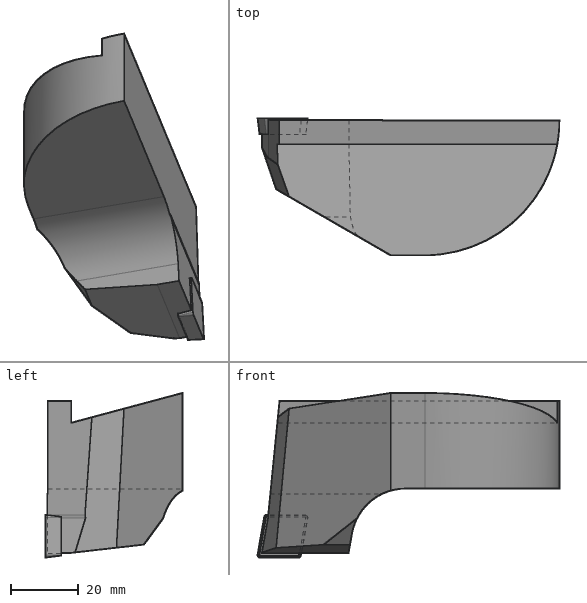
import cadquery as cq
import math


END_RADIUS = 40.0
FLAT_LENGTH = 10.0
SLANT_ANGLE = 30.0
PLAN_LEFT = -60.0

RAIL_WIDTH = 7.0
TOP_SLOPE = 15.0
TOP_HEIGHT = 2.4
RAIL_FOOT = TOP_HEIGHT - (END_RADIUS - RAIL_WIDTH) * math.tan(math.radians(TOP_SLOPE))

UNDERSIDE = -26.0
TIP_BOTTOM = -45.1
TIP_PAD_TOP = -27.5
TIP_PAD_PROUD = 0.2
FLANK_TOP_X = -43.0
FLANK_ANGLE = 5.65
FLANK_RELIEF_ANGLE = 10.0
RELIEF_STEP_DROP = 0.9
TIP_LEFT = -48.2
THROAT_RADIUS = 16.0
THROAT_CENTRE_X = -5.7
THROAT_LINE_ANGLE = 10.0

CORNER_POINT = (-43.4, -13.3, -4.72)
CORNER_TURN = 18.4
CORNER_LEAN = 4.1

BOTTOM_SLOPE = 6.5
BOTTOM_SLOPE_START = -6.5
TOE_EDGE_Y = -28.5
TOE_ANGLE = 53.8

INSERT_CIRCLE = 12.7
INSERT_ANGLE = 80.0
INSERT_THICKNESS = 4.76
INSERT_RELIEF = 7.0
NOSE_RADIUS = 0.8
INSERT_PROUD = 0.7
INSERT_LEFT = -49.5
INSERT_BOTTOM = -46.44

BIG = 200.0


def tan(degrees):
    return math.tan(math.radians(degrees))


def plan_outline():
    """Half-round plan outline with the slanted front wall, as a tall prism reaching the tip pad."""
    slant_run = -FLAT_LENGTH - PLAN_LEFT
    slant_end_y = -END_RADIUS + slant_run * tan(SLANT_ANGLE)
    diagonal = END_RADIUS * math.sqrt(0.5)
    return (
        cq.Workplane("XY", origin=(0, 0, -BIG / 2))
        .moveTo(PLAN_LEFT, TIP_PAD_PROUD)
        .lineTo(PLAN_LEFT, slant_end_y)
        .lineTo(-FLAT_LENGTH, -END_RADIUS)
        .lineTo(0, -END_RADIUS)
        .threePointArc((diagonal, -diagonal), (END_RADIUS, 0))
        .lineTo(END_RADIUS, TIP_PAD_PROUD)
        .close()
        .extrude(BIG)
    )


def side_profile():
    """Front outline of the head, with flank, throat and underside, through the full depth."""
    step_z = INSERT_BOTTOM + INSERT_CIRCLE
    step_x = FLANK_TOP_X + step_z * tan(FLANK_ANGLE)
    relief_z = step_z - RELIEF_STEP_DROP
    relief_x = TIP_LEFT + (relief_z - TIP_BOTTOM) * tan(FLANK_RELIEF_ANGLE)
    crown_x = FLANK_TOP_X + TOP_HEIGHT * tan(FLANK_ANGLE)

    centre_z = UNDERSIDE - THROAT_RADIUS

    def throat_point(angle):
        turn = math.radians(angle)
        return (
            THROAT_CENTRE_X + THROAT_RADIUS * math.cos(turn),
            centre_z + THROAT_RADIUS * math.sin(turn),
        )

    arc_end = throat_point(180 - THROAT_LINE_ANGLE)
    throat_foot_x = arc_end[0] - (arc_end[1] - TIP_BOTTOM) * tan(THROAT_LINE_ANGLE)
    return (
        cq.Workplane("XZ", origin=(0, TIP_PAD_PROUD, 0))
        .moveTo(crown_x, TOP_HEIGHT)
        .lineTo(step_x, step_z)
        .lineTo(relief_x, relief_z)
        .lineTo(TIP_LEFT, TIP_BOTTOM)
        .lineTo(throat_foot_x, TIP_BOTTOM)
        .lineTo(*arc_end)
        .threePointArc(throat_point(135), throat_point(90))
        .lineTo(END_RADIUS, UNDERSIDE)
        .lineTo(END_RADIUS, TOP_HEIGHT)
        .close()
        .extrude(END_RADIUS + TIP_PAD_PROUD)
    )


def end_profile():
    """Rail, sloped top, sloped tip underside, toe bevel and tip pad, along the whole length."""
    toe_z = TIP_BOTTOM + (BOTTOM_SLOPE_START - TOE_EDGE_Y) * tan(BOTTOM_SLOPE)
    toe_top_z = toe_z + (TOE_EDGE_Y + END_RADIUS) * tan(TOE_ANGLE)
    return (
        cq.Workplane("YZ", origin=(-BIG / 2, 0, 0))
        .polyline([
            (0, 0),
            (-RAIL_WIDTH, 0),
            (-RAIL_WIDTH, RAIL_FOOT),
            (-END_RADIUS, TOP_HEIGHT),
            (-END_RADIUS, toe_top_z),
            (TOE_EDGE_Y, toe_z),
            (BOTTOM_SLOPE_START, TIP_BOTTOM),
            (TIP_PAD_PROUD, TIP_BOTTOM),
            (TIP_PAD_PROUD, TIP_PAD_TOP),
            (0, TIP_PAD_TOP),
        ])
        .close()
        .extrude(BIG)
    )


def corner_cutter():
    """Half-space outside the leaning chamfer between the flank and the slanted wall."""
    turn = math.radians(CORNER_TURN)
    lean = math.radians(CORNER_LEAN)
    outward = (
        -math.cos(turn) * math.cos(lean),
        -math.sin(turn) * math.cos(lean),
        math.sin(lean),
    )
    plane = cq.Plane(origin=CORNER_POINT, normal=outward)
    return cq.Workplane(plane).rect(BIG, BIG).extrude(BIG)


def make_insert():
    """Rhombic cutting insert with rounded corners and relieved sides, largest at its outer face."""
    edge = INSERT_CIRCLE / math.sin(math.radians(INSERT_ANGLE))
    lean = 90 - INSERT_ANGLE
    nose_x = INSERT_LEFT + NOSE_RADIUS
    corner_x = nose_x - NOSE_RADIUS / math.cos(math.radians(lean)) - NOSE_RADIUS * tan(lean)
    shift = INSERT_CIRCLE * tan(lean)
    top = INSERT_BOTTOM + INSERT_CIRCLE
    face = (
        cq.Sketch()
        .polygon([
            (corner_x, INSERT_BOTTOM),
            (corner_x + edge, INSERT_BOTTOM),
            (corner_x + edge + shift, top),
            (corner_x + shift, top),
            (corner_x, INSERT_BOTTOM),
        ])
        .vertices()
        .fillet(NOSE_RADIUS)
    )
    return (
        cq.Workplane("XZ", origin=(0, INSERT_PROUD, 0))
        .placeSketch(face)
        .extrude(INSERT_THICKNESS, taper=INSERT_RELIEF)
    )


insert = make_insert()
head = plan_outline().intersect(side_profile()).intersect(end_profile())
head = head.cut(corner_cutter()).cut(insert)

result = cq.Compound.makeCompound([head.val(), insert.val()])